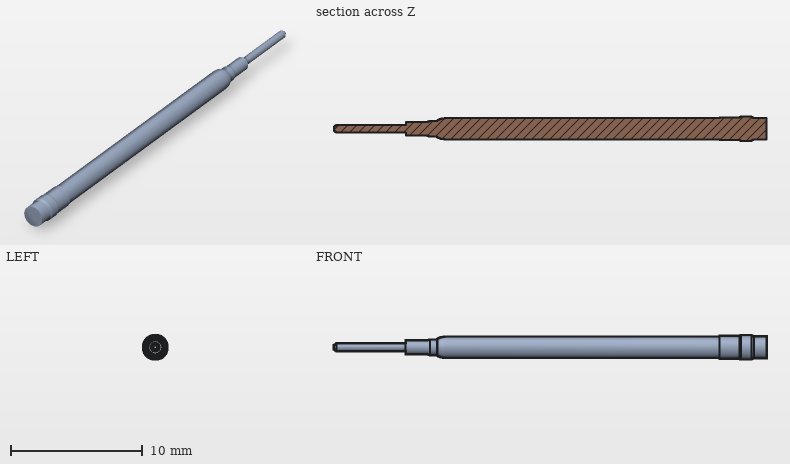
import cadquery as cq

total_length = 32.92

tip_face_diameter = 0.33
pin_diameter = 0.63
sleeve_diameter = 1.1
ring_diameter = 1.22
cone_diameter = 1.35
shoulder_diameter = 1.55
body_diameter = 1.65
tail_diameter = 1.78
collar_diameter = 1.88
end_diameter = 1.68

pin_start = 0.23
sleeve_start = 5.45
ring_start = 7.1
ring_full = 7.3
ring_end = 7.85
cone_start = 7.9
shoulder_start = 8.13
shoulder_end = 8.45
tail_start = 29.33
collar_start = 30.85
collar_full = 30.95
collar_end = 31.75
end_start = 31.93

profile = [
    (0, tip_face_diameter),
    (pin_start, pin_diameter),
    (sleeve_start, pin_diameter),
    (sleeve_start, sleeve_diameter),
    (ring_start, sleeve_diameter),
    (ring_full, ring_diameter),
    (ring_end, ring_diameter),
    (cone_start, cone_diameter),
    (shoulder_start, shoulder_diameter),
    (shoulder_end, body_diameter),
    (tail_start, body_diameter),
    (tail_start, tail_diameter),
    (collar_start, tail_diameter),
    (collar_full, collar_diameter),
    (collar_end, collar_diameter),
    (end_start, end_diameter),
    (total_length, end_diameter),
]

outline = cq.Workplane("XY").moveTo(0, 0)
for position, diameter in profile:
    outline = outline.lineTo(position, diameter / 2)
outline = outline.lineTo(total_length, 0).close()

probe = outline.revolve(360, (0, 0, 0), (1, 0, 0))

result = probe.translate((-total_length / 2, 0, 0))